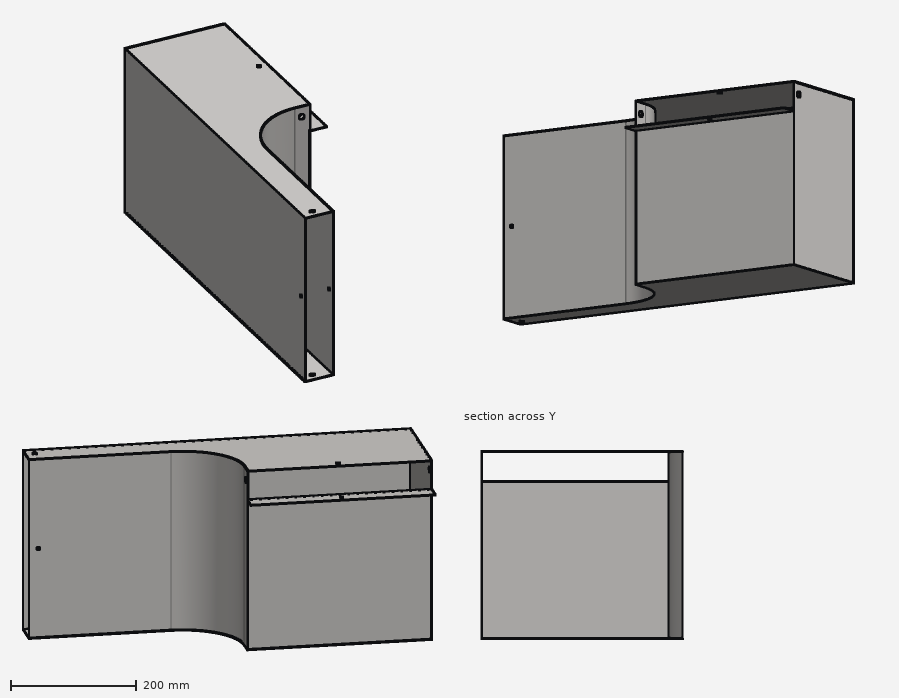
import cadquery as cq

length = 631.0
depth = 209.0
height = 300.0
sheet = 1.5
step_height = sheet / 2

flange_depth = 29.5
body_depth = depth - flange_depth
block_length = 300.5
arm_depth = 52.0
sweep_radius = 100.0

flange_drop = 48.0
flange_top = height - flange_drop

edge_inset = 15.0
small_hole = 5.0
top_hole = 7.0
side_hole = 9.5
side_hole_drop = 19.5
slot_width = 6.0
slot_length = 9.0
slot_y = 21.0
hole_x = block_length / 2
arm_hole_x = length - edge_inset
rear_hole_y = body_depth - edge_inset


def box(x0, y0, z0, dx, dy, dz):
    """Box given by its lowest corner and its sizes."""
    return cq.Workplane("XY").box(dx, dy, dz, centered=False).translate((x0, y0, z0))


def plan_prism(inset, z0, dz):
    """Prism of the plan outline, with its front, left, arc and arm sides moved inward."""
    block_right = block_length - inset
    arm_back = arm_depth - inset
    radius = sweep_radius + inset
    arc_center = (block_length + sweep_radius, arm_depth + sweep_radius)
    arc_offset = radius * 0.5 ** 0.5
    return (
        cq.Workplane("XY", origin=(0, 0, z0))
        .moveTo(inset, inset)
        .lineTo(length, inset)
        .lineTo(length, arm_back)
        .lineTo(arc_center[0], arm_back)
        .threePointArc(
            (arc_center[0] - arc_offset, arc_center[1] - arc_offset),
            (block_right, arc_center[1]),
        )
        .lineTo(block_right, body_depth)
        .lineTo(inset, body_depth)
        .close()
        .extrude(dz)
    )


def hole_z(diameter, x, y, z0, dz):
    """Vertical hole cutter."""
    return cq.Workplane("XY", origin=(x, y, z0)).circle(diameter / 2).extrude(dz)


cover = plan_prism(0, 0, height).cut(plan_prism(sheet, sheet, height - 2 * sheet))

step_z = height - step_height
step = plan_prism(0, step_z, step_height).cut(plan_prism(sheet, step_z, step_height))
front_rim = box(0, 0, step_z, length, sheet, step_height)
left_rim = box(0, 0, step_z, sheet, body_depth, step_height)
cover = cover.cut(step.cut(front_rim).cut(left_rim))

rear_wall = box(0, body_depth - sheet, 0, block_length, sheet, flange_top)
flange = box(0, body_depth - sheet, flange_top - sheet, block_length, flange_depth + sheet, sheet)
result = cover.union(rear_wall).union(flange).clean()

result = result.cut(hole_z(top_hole, hole_x, rear_hole_y, height - sheet, sheet))
flange_hole_y = body_depth + flange_depth / 2
result = result.cut(hole_z(small_hole, hole_x, flange_hole_y, flange_top - sheet, sheet))

slot = (
    cq.Workplane("XY")
    .center(arm_hole_x, slot_y)
    .slot2D(slot_length, slot_width, 90)
    .extrude(height)
)
result = result.cut(slot)

arm_hole = (
    cq.Workplane("XZ")
    .center(arm_hole_x, height / 2)
    .circle(small_hole / 2)
    .extrude(-arm_depth)
)
result = result.cut(arm_hole)

side_cutter = (
    cq.Workplane("YZ")
    .center(rear_hole_y, height - side_hole_drop)
    .circle(side_hole / 2)
    .extrude(block_length)
)
result = result.cut(side_cutter)